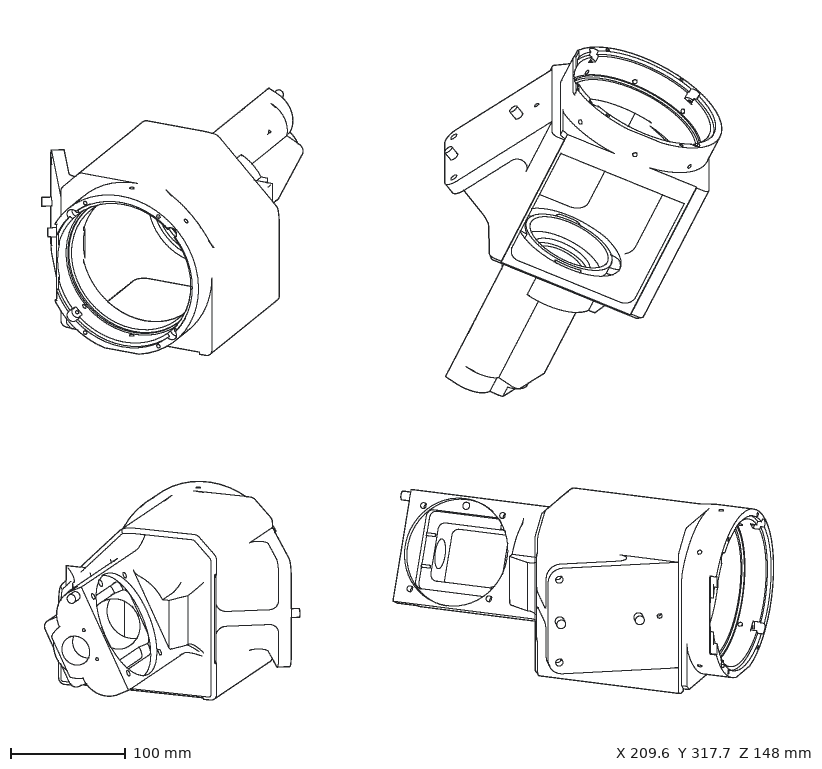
import cadquery as cq
import math


box_half = 74.0
box_front = 31.8
box_back = 166.8
box_rear_chamfer = 3.8
corner_chamfer = 18.0
corner_round = 6.7
foot_round = 5.7
foot_inner = 62.0
foot_height = 2.0
barrel_radius = box_half
barrel_flat = 66.0
barrel_flat_round = 18.5
step_front = 26.7
step_corner = 4.5

bore_steps = [(68.0, 3.5), (64.8, 23.2), (63.2, 25.5)]
bore_radius = 60.7
ear_offset = 47.5
ear_radius = 5.0
ear_depth = 9.5
ear_hole_diameter = 2.9
ear_hole_depth = 19.0
rim_hole_diameter = 3.2
rim_hole_circle = 70.5
rim_hole_angles = (60, 120, 240, 300)
rim_hole_depth = 9.5
radial_hole_diameter = 3.8
radial_hole_y = 20.3
radial_hole_angles = (45, 90, 135, 225, 270, 315)
notch_floor = 63.0
notch_half_width = 36.0
notch_depth = 6.0

flat_distance = 61.5
flat_start = 48.5
flat_inflection = 40.7
flat_run_out = 26.7
flat_edge_round = 12.7
flat_rise = 1.3

cavity_half_width = 59.0
cavity_top = 68.0
cavity_front = 46.0
cavity_back = 157.3
cavity_slant = 57.8
cavity_corner = 5.7
cavity_round = 10.2

hub_height = 1.1
neck_radius = 44.5
neck_end = 200.5
shoulder_half_width = 54.0
shoulder_root = 180.0
shoulder_half_height = 22.2
neck_arm_fillet = 10.2
neck_fillet = 11.5
ring_radius = 50.0
ring_depth = 8.3
hub_diameter = 82.5
lobe_radius = 12.5
lobe_drop = 2.0
lobe_circle = 40.0
hub_bores = [(75.0, 16.0), (55.0, 20.5)]
passage_diameter = 45.0
end_hole_diameter = 26.0

arm_tilt = 26.5
arm_half = 49.5
arm_end = 307.5
arm_face = 30.5
arm_plate_back = -18.0
boss_half = 31.8
boss_back = 28.0
boss_round = 6.5
boss_end = 288.5
flank_end = 8.0
flank_radius = 24.5
end_boss_radius = 25.0
end_boss_angle = 11.0
end_notch_start = 297.5
end_notch_floor = 16.0

window_y = 257.0
recess_diameter = 95.0
recess_depth = 6.5
pocket_half = 35.0
pocket_depth = 15.2
pocket_round = 6.0
chamber_front = 213.5
chamber_back = 282.5
chamber_half = 25.7
chamber_depth = 52.5
chamber_front_round = 9.5
chamber_back_round = 6.0
arm_hole_diameter = 5.0
arm_hole_spacing = 73.7
arm_hole_depth = 9.5
through_hole_diameter = 6.5
through_hole_u = 42.0
end_screw_diameter = 2.5
end_screw_u = 14.0
end_screw_depth = 23.5

bracket_angle = 60.0
bracket_length = 114.7
bracket_half = 48.5
bracket_corner = 12.7
bracket_plate = 11.0
web_half = 6.7
web_corner = 8.5
web_fillet = 8.3
bracket_hole_s = 104.8
bracket_hole_z = 38.0
bracket_hole_diameter = 6.5
bracket_hole_depth = 9.5
small_hole_s = 16.5
small_hole_diameter = 4.0
small_hole_depth = 6.5

pin_diameter = 8.0
pin_seat = 9.5
bracket_pin_length = 8.5
bracket_pin_s = (35.3, 104.5)
arm_pin_u = 44.2
arm_pin_b = -22.0
pin_tip = 317.7

tilt_sin = math.sin(math.radians(arm_tilt))
tilt_cos = math.cos(math.radians(arm_tilt))
slant_sin = math.sin(math.radians(bracket_angle))
slant_cos = math.cos(math.radians(bracket_angle))
beyond = 16.0


def cross_section(y):
    """Workplane across the part at y: local x is X, local y is Z; negative lengths go toward +Y."""
    plane = cq.Plane(origin=(0, y, 0), xDir=(1, 0, 0), normal=(0, -1, 0))
    return cq.Workplane(plane)


def rod(y_start, y_end, radius, x=0.0, z=0.0):
    """Cylinder along Y."""
    return cross_section(y_start).center(x, z).circle(radius).extrude(y_start - y_end)


def arm_section(y):
    """Workplane across the tilted arm at y: local x is u, local y is b, extrusion goes toward +Y."""
    plane = cq.Plane(origin=(0, y, hub_height), xDir=(tilt_sin, 0, tilt_cos), normal=(0, 1, 0))
    return cq.Workplane(plane)


def arm_face_plane():
    """Workplane on the arm face, centred on its window: local x runs toward -Y, local y is u."""
    origin = (-arm_face * tilt_cos, window_y, hub_height + arm_face * tilt_sin)
    normal = (-tilt_cos, 0, tilt_sin)
    return cq.Workplane(cq.Plane(origin=origin, xDir=(0, -1, 0), normal=normal))


def bracket_face_plane():
    """Workplane on the bracket face: local x is s, and the normal points outward."""
    origin = (-box_half, box_front, 0)
    x_dir = (-slant_cos, slant_sin, 0)
    normal = (-slant_sin, -slant_cos, 0)
    return cq.Workplane(cq.Plane(origin=origin, xDir=x_dir, normal=normal))


def box_body():
    """Square box with a round upper +X corner, a chamfered upper -X corner and round lower corners."""
    arc_middle = box_half * math.sqrt(0.5)
    box = (
        cross_section(box_front)
        .moveTo(-box_half, -box_half)
        .lineTo(box_half, -box_half)
        .lineTo(box_half, 0)
        .threePointArc((arc_middle, arc_middle), (0, box_half))
        .lineTo(corner_chamfer - box_half, box_half)
        .lineTo(-box_half, box_half - corner_chamfer)
        .close()
        .extrude(box_front - box_back)
    )
    box = box.edges("|Y").edges("<Z").fillet(foot_round)
    chamfer_middle = corner_chamfer / 2 - box_half
    chamfer_zone = cq.selectors.BoxSelector(
        (chamfer_middle - corner_chamfer, box_front, -chamfer_middle - corner_chamfer),
        (chamfer_middle + corner_chamfer, box_back, -chamfer_middle + corner_chamfer),
    )
    box = box.edges("|Y").edges(chamfer_zone).fillet(corner_round)
    return box.faces(">Y").edges().chamfer(box_rear_chamfer)


def barrel_body():
    """Round barrel with a side flat and a flat bottom, flush with the recess between the feet."""
    flat_height = box_half - foot_height
    trim = (
        cq.Workplane()
        .box(barrel_flat + box_half, cavity_front, flat_height + box_half, centered=False)
        .translate((-barrel_flat, 0, -flat_height))
    )
    barrel = rod(0, cavity_front, barrel_radius).intersect(trim)
    side_edges = cq.selectors.BoxSelector(
        (-barrel_flat - 3.2, 0, step_corner - barrel_flat),
        (-barrel_flat + 3.2, cavity_front, barrel_flat),
    )
    return barrel.edges("|Y").edges(side_edges).fillet(barrel_flat_round)


def lower_step():
    """Block under the barrel that stands a little in front of the box, with the +X foot."""
    floor = -box_half + foot_height
    block = (
        cross_section(step_front)
        .moveTo(-barrel_flat, 0)
        .lineTo(-barrel_flat, floor + step_corner)
        .lineTo(-barrel_flat + step_corner, floor)
        .lineTo(foot_inner, floor)
        .lineTo(foot_inner, -box_half)
        .lineTo(box_half, -box_half)
        .lineTo(box_half, 0)
        .close()
        .extrude(step_front - cavity_front)
    )
    return block.edges("|Y and >X").edges("<Z").fillet(foot_round)


def foot_gap():
    """Shallow recess along the bottom between the two feet."""
    gap = cq.Workplane().box(2 * foot_inner, 2 * box_back, 2 * foot_height)
    return gap.translate((0, 0, -box_half))


def upper_flat():
    """Cutter for the slanted flat: an S-shaped ramp in front and a chamfer at the rear."""
    hollow_run = flat_start - flat_inflection
    round_run = flat_inflection - flat_run_out
    ramp_top = barrel_radius + flat_rise
    depth = ramp_top - flat_distance
    half_turn = math.atan(depth / (hollow_run + round_run))
    hollow_radius = hollow_run / math.sin(2 * half_turn)
    round_radius = round_run / math.sin(2 * half_turn)
    inflection = flat_distance + hollow_run * math.tan(half_turn)
    outside = barrel_radius + beyond
    diagonal = math.sqrt(0.5)
    plane = cq.Plane(origin=(0, 0, 0), xDir=(diagonal, 0, diagonal), normal=(-diagonal, 0, diagonal))
    return (
        cq.Workplane(plane)
        .moveTo(outside, box_back)
        .lineTo(flat_distance - box_rear_chamfer, box_back)
        .lineTo(flat_distance, box_back - box_rear_chamfer)
        .lineTo(flat_distance, flat_start)
        .radiusArc((inflection, flat_inflection), -hollow_radius)
        .radiusArc((ramp_top, flat_run_out), round_radius)
        .lineTo(outside, flat_run_out)
        .close()
        .extrude(box_half, both=True)
    )


def rounded_flat(body):
    """Cut the slanted flat into the body and round its two long edges."""
    middle_y = (flat_start + box_back - box_rear_chamfer) / 2
    middle_zone = cq.selectors.BoxSelector((3.2, middle_y - 3.2, 3.2), (box_half, middle_y + 3.2, box_half))
    return body.cut(upper_flat()).edges("|Y").edges(middle_zone).fillet(flat_edge_round)


def arm_plate_outline(y):
    """Section of the arm plate at y, ready to go on from the upper rear corner."""
    return (
        arm_section(y)
        .moveTo(-arm_half, arm_plate_back)
        .lineTo(-arm_half, -arm_face)
        .lineTo(arm_half, -arm_face)
        .lineTo(arm_half, arm_plate_back)
    )


def arm_body():
    """Square plate with a hollow-flanked boss behind it, ending in a round boss."""
    arm_root = box_back - 3.2
    corner = boss_round * (1 - math.sqrt(0.5))
    inner_u = boss_half - boss_round
    inner_b = boss_back - boss_round
    corner_u = boss_half - corner
    corner_b = boss_back - corner
    boss = (
        arm_plate_outline(arm_root)
        .radiusArc((boss_half, flank_end), -flank_radius)
        .lineTo(boss_half, inner_b)
        .threePointArc((corner_u, corner_b), (inner_u, boss_back))
        .lineTo(-inner_u, boss_back)
        .threePointArc((-corner_u, corner_b), (-boss_half, inner_b))
        .lineTo(-boss_half, flank_end)
        .radiusArc((-arm_half, arm_plate_back), -flank_radius)
        .close()
        .extrude(boss_end - arm_root)
    )
    tangent_u = end_boss_radius * math.cos(math.radians(end_boss_angle))
    tangent_b = end_boss_radius * math.sin(math.radians(end_boss_angle))
    round_boss = (
        arm_plate_outline(boss_end)
        .radiusArc((tangent_u, tangent_b), -flank_radius)
        .threePointArc((0, end_boss_radius), (-tangent_u, tangent_b))
        .radiusArc((-arm_half, arm_plate_back), -flank_radius)
        .close()
        .extrude(arm_end - boss_end)
    )
    notch = (
        arm_section(end_notch_start)
        .center(0, end_notch_floor + end_boss_radius)
        .rect(2 * end_boss_radius, 2 * end_boss_radius)
        .extrude(arm_end - end_notch_start)
    )
    return boss.union(round_boss.cut(notch))


def neck_body():
    """Round neck with a shoulder on each side that draws in toward its end."""
    root = box_back - 3.2
    shoulders = (
        cq.Workplane("XY", origin=(0, 0, hub_height))
        .polyline(
            [
                (-shoulder_half_width, root),
                (shoulder_half_width, root),
                (shoulder_half_width, shoulder_root),
                (neck_radius, neck_end),
                (-neck_radius, neck_end),
                (-shoulder_half_width, shoulder_root),
            ]
        )
        .close()
        .extrude(shoulder_half_height, both=True)
    )
    return rod(root, neck_end, neck_radius, z=hub_height).union(shoulders)


def neck_arm_edges(edge):
    """True for the edges where the neck meets the arm face."""
    middle = edge.Center()
    face_distance = (middle.z - hub_height) * tilt_sin - middle.x * tilt_cos
    axis_distance = math.hypot(middle.x, middle.z - hub_height)
    return abs(face_distance - arm_face) < 0.03 and abs(axis_distance - neck_radius) < 0.03


def blend_edges(edge):
    """True for the edges where the neck and the arm meet the rear face of the box."""
    blend_reach = box_half - neck_fillet
    box = edge.BoundingBox()
    on_rear_face = abs(box.ymin - box_back) < 0.03 and abs(box.ymax - box_back) < 0.03
    corners = [edge.startPoint(), edge.endPoint()]
    return on_rear_face and all(math.hypot(p.x, p.z) < blend_reach for p in corners)


def rear_body():
    """Neck and arm with the hollow blend that joins them to the rear face of the box."""
    wall_width = 4 * box_half
    wall = cross_section(box_back - 3.2).rect(wall_width, wall_width).extrude(-3.2)
    body = wall.union(neck_body()).union(arm_body())
    body = body.edges("|Y").filter(neck_arm_edges).fillet(neck_arm_fillet)
    body = body.edges().filter(blend_edges).fillet(neck_fillet)
    rear_width = 2 * (box_half - box_rear_chamfer)
    rear_space = cross_section(box_back).rect(rear_width, rear_width).extrude(box_back - arm_end)
    return body.intersect(rear_space)


def bracket_body():
    """Triangular block of the bracket, with its two far corners rounded."""
    tip_x = -box_half - bracket_length * slant_cos
    tip_y = box_front + bracket_length * slant_sin
    shoulder_y = tip_y - (tip_x + box_half) / slant_sin * slant_cos
    inside = -cavity_half_width - 3.2
    body = (
        cq.Workplane("XY", origin=(0, 0, -bracket_half))
        .polyline(
            [
                (-box_half, box_front),
                (tip_x, tip_y),
                (-box_half, shoulder_y),
                (inside, shoulder_y),
                (inside, box_front),
            ]
        )
        .close()
        .extrude(2 * bracket_half)
    )
    end_direction = cq.Vector(-slant_cos, slant_sin, 0)
    outer_zone = cq.selectors.BoxSelector(
        (tip_x - beyond, box_front, -box_half), (-box_half - 6.5, shoulder_y, box_half)
    )
    end_edges = body.faces(cq.selectors.ParallelDirSelector(end_direction)).edges("<Z or >Z")
    return end_edges.edges(outer_zone).fillet(bracket_corner)


def bracket_pocket(side):
    """Cutter for the pocket above (side = 1) or below (side = -1) the web."""
    apex_y = box_front + bracket_plate / slant_cos
    reach = bracket_length + beyond
    pocket = (
        cq.Workplane("XY", origin=(0, 0, side * web_half))
        .polyline(
            [
                (-box_half, apex_y),
                (-box_half - reach * slant_cos, apex_y + reach * slant_sin),
                (-box_half, apex_y + reach * slant_sin),
            ]
        )
        .close()
        .extrude(side * bracket_half)
    )
    pocket = pocket.edges("|Z").edges("<Y").fillet(web_corner)
    return pocket.faces("<Z" if side > 0 else ">Z").edges().fillet(web_fillet)


def bracket_drill(s, z, diameter, depth):
    """Cutter for a blind hole in the bracket face."""
    return bracket_face_plane().center(s, -z).circle(diameter / 2).extrude(-depth)


def barrel_bore():
    """Stepped bore with four screw ears and a side notch at its open end."""
    bore = rod(0, cavity_front + 3.2, bore_radius)
    for radius, depth in bore_steps:
        bore = bore.union(rod(0, depth, radius))
    for x in (-ear_offset, ear_offset):
        for z in (-ear_offset, ear_offset):
            bore = bore.union(rod(0, ear_depth, ear_radius, x, z))
            bore = bore.union(rod(0, ear_hole_depth, ear_hole_diameter / 2, x, z))
    notch = cq.Workplane().box(beyond, 2 * notch_depth, 2 * notch_half_width)
    return bore.union(notch.translate((-notch_floor - beyond / 2, 0, 0)))


def barrel_holes():
    """Small holes in the front rim and through the barrel wall."""
    holes = []
    for angle in rim_hole_angles:
        x = rim_hole_circle * math.cos(math.radians(angle))
        z = rim_hole_circle * math.sin(math.radians(angle))
        holes.append(rod(0, rim_hole_depth, rim_hole_diameter / 2, x, z).val())
    for angle in radial_hole_angles:
        direction = cq.Vector(math.cos(math.radians(angle)), 0, math.sin(math.radians(angle)))
        start = direction * bore_radius + cq.Vector(0, radial_hole_y, 0)
        holes.append(cq.Solid.makeCylinder(radial_hole_diameter / 2, beyond, start, direction))
    return cq.Workplane().newObject(holes).combine()


def box_cavity():
    """Inside of the box: open at the bottom, with a slanted wall that follows the upper flat."""
    slant_sum = cavity_slant * math.sqrt(2)
    cavity = (
        cross_section(cavity_front)
        .polyline(
            [
                (-cavity_half_width, -box_half - beyond),
                (cavity_half_width, -box_half - beyond),
                (cavity_half_width, slant_sum - cavity_half_width),
                (slant_sum - cavity_top, cavity_top),
                (cavity_corner - cavity_half_width, cavity_top),
                (-cavity_half_width, cavity_top - cavity_corner),
            ]
        )
        .close()
        .extrude(cavity_front - cavity_back)
    )
    slant_middle = (slant_sum / 2, cavity_back, slant_sum / 2)
    rear_face = cavity.faces(">Y")
    slant_edge = rear_face.edges(cq.selectors.NearestToPointSelector(slant_middle))
    return rear_face.edges("|Z").add(slant_edge).fillet(cavity_round)


def hub_ring():
    """Ring-shaped recess round the hub, interrupted by four lobes."""
    ring_floor = cavity_back + ring_depth
    ring = rod(cavity_back - 3.2, ring_floor, ring_radius, z=hub_height)
    hub = rod(cavity_back, ring_floor, hub_diameter / 2, z=hub_height)
    for x, z in ((lobe_circle, 0), (-lobe_circle, 0), (0, lobe_circle), (0, -lobe_circle)):
        lobe = rod(cavity_back + lobe_drop, ring_floor, lobe_radius, x, z + hub_height)
        hub = hub.union(lobe)
    return ring.cut(hub)


def hub_bore():
    """Stepped bore of the hub, its passage into the arm and the hole through the arm end."""
    passage_end = chamber_front + chamber_front_round
    bore = rod(cavity_back - 3.2, passage_end, passage_diameter / 2, z=hub_height)
    for diameter, depth in hub_bores:
        bore = bore.union(rod(cavity_back - 3.2, cavity_back + depth, diameter / 2, z=hub_height))
    return bore.union(rod(chamber_back - 3.2, arm_end, end_hole_diameter / 2, z=hub_height))


def arm_window():
    """Round recess, square pocket and deep chamber sunk into the arm face."""
    depth_direction = cq.selectors.ParallelDirSelector(cq.Vector(-tilt_cos, 0, tilt_sin))
    recess = arm_face_plane().circle(recess_diameter / 2).extrude(-recess_depth)
    pocket = arm_face_plane().rect(2 * pocket_half, 2 * pocket_half).extrude(-pocket_depth)
    pocket = pocket.edges(depth_direction).fillet(pocket_round)
    chamber = (
        arm_section(chamber_front)
        .center(0, (chamber_depth + recess_depth) / 2 - arm_face)
        .rect(2 * chamber_half, chamber_depth - recess_depth)
        .extrude(chamber_back - chamber_front)
    )
    chamber = chamber.faces("<Y").edges(depth_direction).fillet(chamber_front_round)
    chamber = chamber.faces(">Y").edges(depth_direction).fillet(chamber_back_round)
    return recess.union(pocket).union(chamber)


def arm_holes():
    """Four screw holes and a through hole in the arm face, and two screw holes in the arm end."""
    holes = (
        arm_face_plane()
        .rect(arm_hole_spacing, arm_hole_spacing, forConstruction=True)
        .vertices()
        .circle(arm_hole_diameter / 2)
        .extrude(-arm_hole_depth)
    )
    through = (
        arm_face_plane()
        .center(0, through_hole_u)
        .circle(through_hole_diameter / 2)
        .extrude(-arm_face)
    )
    end_screw_b = pocket_depth - arm_face
    end_screws = (
        arm_section(arm_end)
        .pushPoints([(-end_screw_u, end_screw_b), (end_screw_u, end_screw_b)])
        .circle(end_screw_diameter / 2)
        .extrude(-end_screw_depth)
    )
    return holes.union(through).union(end_screws)


def make_bracket_pin(s):
    """Dowel pin standing out of the bracket face at distance s."""
    seat = bracket_face_plane().workplane(offset=-pin_seat)
    return seat.center(s, 0).circle(pin_diameter / 2).extrude(pin_seat + bracket_pin_length)


def make_arm_pin():
    """Dowel pin standing out of the arm end."""
    seat = arm_section(arm_end - pin_seat)
    pin_length = pin_tip - arm_end + pin_seat
    return seat.center(arm_pin_u, arm_pin_b).circle(pin_diameter / 2).extrude(pin_length)


def make_housing(pins):
    """One casting: box, barrel, neck, arm and bracket, with seats for the pins."""
    housing = rounded_flat(box_body().union(barrel_body()).union(lower_step()))
    housing = housing.union(rear_body()).union(bracket_body())
    cutters = [
        foot_gap(),
        bracket_pocket(1),
        bracket_pocket(-1),
        barrel_bore(),
        barrel_holes(),
        box_cavity(),
        hub_ring(),
        hub_bore(),
        arm_window(),
        arm_holes(),
        bracket_drill(bracket_hole_s, bracket_hole_z, bracket_hole_diameter, bracket_hole_depth),
        bracket_drill(bracket_hole_s, -bracket_hole_z, bracket_hole_diameter, bracket_hole_depth),
        bracket_drill(small_hole_s, 0, small_hole_diameter, small_hole_depth),
    ]
    for cutter in cutters + pins:
        housing = housing.cut(cutter)
    return housing


bracket_pins = [make_bracket_pin(s) for s in bracket_pin_s]
arm_pin = make_arm_pin()
housing = make_housing(bracket_pins + [arm_pin])

result = cq.Compound.makeCompound(
    [housing.val(), *[pin.val() for pin in bracket_pins], arm_pin.val()]
)